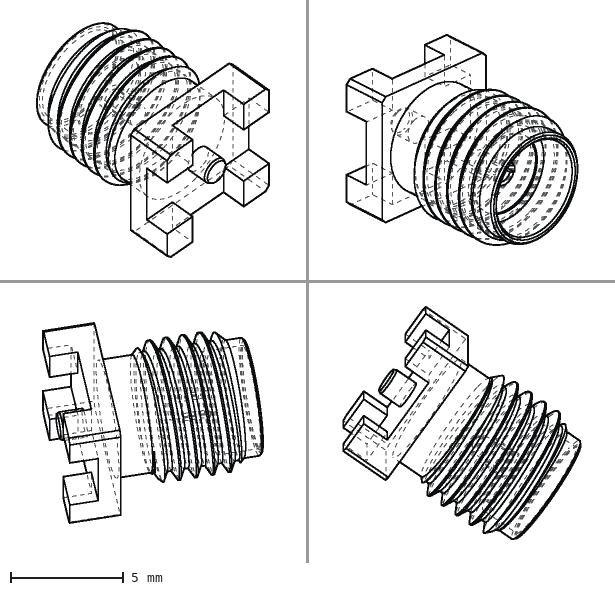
import cadquery as cq

length = 8.84
flange_side = 6.35
flange_start = 6.54
flange_chamfer = 0.22
notch_floor = 7.57
notch_width = 3.18

barrel_radius = 2.65
lip_chamfer = 0.1
bore_radius = 2.32
bore_depth = 1.92
insulator_radius = 1.91
insulator_recess = 0.1

thread_start = 0.81
thread_end = 5.0
root_radius = 2.71
crest_radius = flange_side / 2
pitch = 0.76
crest_width = 0.08
ridge_width = 0.57
first_crest = 1.4
lead_in_turns = 2
sweep_turns = 8
ridge_overlap = 0.04

pin_radius = 0.64
pin_end = 8.74
pin_chamfer = 0.12
pin_chamfer_depth = 0.06
socket_radius = 0.47
socket_mouth_radius = 0.58
socket_depth = 1.77
socket_cone_depth = 0.265
socket_slot_width = 0.31
socket_slot_depth = 1.24

insulator_face = bore_depth + insulator_recess


def revolved(profile):
    """Revolve (x, radius) points about the connector axis."""
    return cq.Workplane("XY").polyline(profile).close().revolve(360, (0, 0, 0), (1, 0, 0))


def cylinder(radius, start, end):
    return cq.Workplane("YZ").workplane(offset=start).circle(radius).extrude(end - start)


def make_flange():
    """Square mounting flange with four corner legs."""
    depth = length - flange_start
    block = cq.Workplane("YZ").workplane(offset=flange_start).rect(flange_side, flange_side).extrude(depth)
    block = block.edges("|X").chamfer(flange_chamfer)
    gap_depth = length - notch_floor
    gaps = cq.Workplane("YZ").workplane(offset=notch_floor)
    block = block.cut(gaps.rect(flange_side, notch_width).extrude(gap_depth))
    return block.cut(gaps.rect(notch_width, flange_side).extrude(gap_depth))


def make_thread():
    """Right-handed external thread whose ends run out on 45 degree cones."""
    sweep_start = first_crest - lead_in_turns * pitch
    base_radius = root_radius - ridge_overlap
    flank_run = (ridge_width - crest_width) / 2
    flank_slope = flank_run / (crest_radius - root_radius)
    half_base = ridge_width / 2 + ridge_overlap * flank_slope
    half_crest = crest_width / 2
    helix = cq.Wire.makeHelix(pitch, sweep_turns * pitch, base_radius)
    ridge = (
        cq.Workplane("XZ")
        .polyline([
            (base_radius, -half_base),
            (crest_radius, -half_crest),
            (crest_radius, half_crest),
            (base_radius, half_base),
        ])
        .close()
        .sweep(cq.Workplane(helix), isFrenet=True)
        .rotate((0, 0, 0), (0, 1, 0), 90)
        .translate((sweep_start, 0, 0))
    )
    envelope_radius = crest_radius + ridge_overlap
    cone_run = envelope_radius - barrel_radius
    envelope = revolved([
        (thread_start, 0),
        (thread_start, barrel_radius),
        (thread_start + cone_run, envelope_radius),
        (thread_end - cone_run, envelope_radius),
        (thread_end, barrel_radius),
        (thread_end, 0),
    ])
    root_run = root_radius - barrel_radius
    core = revolved([
        (thread_start, 0),
        (thread_start, barrel_radius),
        (thread_start + root_run, root_radius),
        (thread_end - root_run, root_radius),
        (thread_end, barrel_radius),
        (thread_end, 0),
    ])
    return core.union(ridge.intersect(envelope))


def make_barrel():
    barrel = cylinder(barrel_radius, 0, flange_start)
    return barrel.faces("<X").chamfer(lip_chamfer)


def make_bore():
    """Mating bore with a chamfered mouth and a shallow recess at the insulator."""
    return revolved([
        (0, 0),
        (0, bore_radius + lip_chamfer),
        (lip_chamfer, bore_radius),
        (bore_depth, bore_radius),
        (bore_depth, insulator_radius),
        (insulator_face, insulator_radius),
        (insulator_face, 0),
    ])


def make_socket():
    """Centre-contact hole with a conical end and a slot across its mouth."""
    mouth_chamfer = socket_mouth_radius - socket_radius
    hole = revolved([
        (insulator_face, 0),
        (insulator_face, socket_mouth_radius),
        (insulator_face + mouth_chamfer, socket_radius),
        (insulator_face + socket_depth, socket_radius),
        (insulator_face + socket_depth + socket_cone_depth, 0),
    ])
    slot = (
        cq.Workplane("YZ")
        .workplane(offset=insulator_face)
        .rect(2 * pin_radius, socket_slot_width)
        .extrude(socket_slot_depth)
        .intersect(cylinder(pin_radius, insulator_face, insulator_face + socket_slot_depth))
    )
    return hole.union(slot)


def make_pin():
    """Solder pin standing out of the flange between the legs."""
    pin = cylinder(pin_radius, flange_start, pin_end)
    return pin.faces(">X").chamfer(pin_chamfer, pin_chamfer_depth)


body = make_barrel().union(make_thread()).union(make_flange()).union(make_pin())
result = body.cut(make_bore()).cut(make_socket())